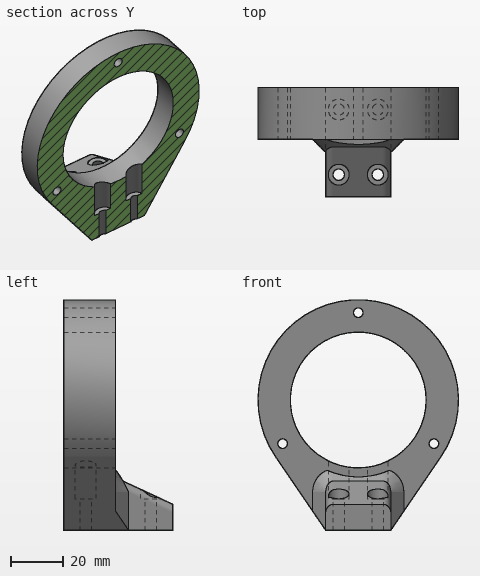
import cadquery as cq
import math

ring_radius = 38.5
bore_radius = 26.0
ring_depth = 20.0
base_z = -50.0
base_half_width = 12.5

ring_hole_diameter = 3.6
ring_hole_circle_radius = 33.5
ring_hole_count = 3

foot_length = 22.0
foot_end_height = 10.0
foot_slope = math.radians(25)
foot_edge_radius = 3.0
root_chamfer = 5.0
clearance_radius = 29.5

foot_height_at_chamfer = foot_end_height + (foot_length - root_chamfer) * math.tan(foot_slope)
rounding_drop = foot_edge_radius / math.cos(foot_slope)
shoulder_z = base_z + foot_height_at_chamfer - rounding_drop

screw_hole_diameter = 4.3
screw_head_diameter = 8.0
screw_spacing = 15.0
screw_seat_height = 12.0
foot_screw_y = -13.5
ring_screw_y = 11.5


def body_outline(y_start, depth):
    """Circle with tangent flanks running down to the flat base, extruded toward +Y."""
    corner_distance = math.hypot(base_half_width, base_z)
    corner_angle = math.atan2(base_z, base_half_width)
    tangent_angle = corner_angle + math.acos(ring_radius / corner_distance)
    tangent_x = ring_radius * math.cos(tangent_angle)
    tangent_z = ring_radius * math.sin(tangent_angle)
    return (
        cq.Workplane("XZ", origin=(0, y_start, 0))
        .moveTo(-base_half_width, base_z)
        .lineTo(base_half_width, base_z)
        .lineTo(tangent_x, tangent_z)
        .threePointArc((0, ring_radius), (-tangent_x, tangent_z))
        .close()
        .extrude(-depth)
    )


def cylinder_along_y(radius, y_start, length, x=0, z=0):
    """Cylinder starting at y_start and running toward +Y."""
    return cq.Workplane("XZ", origin=(x, y_start, z)).circle(radius).extrude(-length)


def foot_block():
    """Sloping foot, rounded along its upper side edges."""
    root_height = foot_end_height + foot_length * math.tan(foot_slope)
    block = (
        cq.Workplane("YZ", origin=(-base_half_width, 0, 0))
        .moveTo(0, base_z)
        .lineTo(-foot_length, base_z)
        .lineTo(-foot_length, base_z + foot_end_height)
        .lineTo(0, base_z + root_height)
        .close()
        .extrude(2 * base_half_width)
    )
    return block.faces(">Z").edges("not(|X)").fillet(foot_edge_radius)


def arch(plane, corner_width, corner_height):
    """Closed wire: flat bottom, and a top whose two corners are quarter ellipses."""
    flat_half_width = base_half_width - foot_edge_radius
    half_width = flat_half_width + corner_width
    return (
        cq.Workplane(plane)
        .moveTo(half_width, 0)
        .ellipseArc(corner_width, corner_height, 0, 90)
        .lineTo(-flat_half_width, corner_height)
        .ellipseArc(corner_width, corner_height, 90, 180)
        .close()
        .wire()
        .val()
    )


def root_chamfer_body():
    """Chamfer along both sides and over the top of the foot root.

    Its edges are the contact lines of a ball of radius root_chamfer rolled along the corner.
    """
    lower_part = (
        cq.Workplane("XY", origin=(0, 0, base_z))
        .moveTo(-base_half_width - root_chamfer, 0)
        .lineTo(-base_half_width, -root_chamfer)
        .lineTo(base_half_width, -root_chamfer)
        .lineTo(base_half_width + root_chamfer, 0)
        .close()
        .extrude(shoulder_z - base_z)
    )

    face_corner_width = foot_edge_radius + root_chamfer
    face_corner_height = face_corner_width / math.cos(foot_slope)
    rise_y = root_chamfer * math.sin(foot_slope)
    rise_z = face_corner_height - root_chamfer * math.cos(foot_slope)
    face_plane = cq.Plane(origin=(0, 0, shoulder_z), xDir=(1, 0, 0), normal=(0, -1, 0))
    foot_plane = cq.Plane(
        origin=(0, -root_chamfer, shoulder_z), xDir=(1, 0, 0), normal=(0, -rise_z, rise_y)
    )
    face_arch = arch(face_plane, face_corner_width, face_corner_height)
    foot_arch = arch(foot_plane, foot_edge_radius, math.hypot(rise_y, rise_z))
    upper_part = cq.Workplane(cq.Solid.makeLoft([face_arch, foot_arch], True))
    return lower_part.union(upper_part)


def foot():
    """Foot with its root chamfer, kept inside the body outline and clear of the bore."""
    blended = foot_block().union(root_chamfer_body())
    trimmed = blended.intersect(body_outline(-foot_length, foot_length))
    return trimmed.cut(cylinder_along_y(clearance_radius, -foot_length, foot_length))


def ring_holes():
    """Through holes evenly spaced around the ring, the first one at the top."""
    holes = cq.Workplane()
    for index in range(ring_hole_count):
        angle = math.radians(90 + index * 360 / ring_hole_count)
        x = ring_hole_circle_radius * math.cos(angle)
        z = ring_hole_circle_radius * math.sin(angle)
        holes = holes.add(cylinder_along_y(ring_hole_diameter / 2, 0, ring_depth, x, z))
    return holes.combine()


def screw_pair(y):
    """Two counterbored holes through the base, open upward as far as the ring axis."""
    seat_z = base_z + screw_seat_height
    centres = [(-screw_spacing / 2, y), (screw_spacing / 2, y)]
    shanks = (
        cq.Workplane("XY", origin=(0, 0, base_z))
        .pushPoints(centres)
        .circle(screw_hole_diameter / 2)
        .extrude(-base_z)
    )
    heads = (
        cq.Workplane("XY", origin=(0, 0, seat_z))
        .pushPoints(centres)
        .circle(screw_head_diameter / 2)
        .extrude(-seat_z)
    )
    return shanks.union(heads)


result = body_outline(0, ring_depth).union(foot())
result = result.cut(cylinder_along_y(bore_radius, 0, ring_depth))
result = result.cut(ring_holes())
for screw_y in (foot_screw_y, ring_screw_y):
    result = result.cut(screw_pair(screw_y))